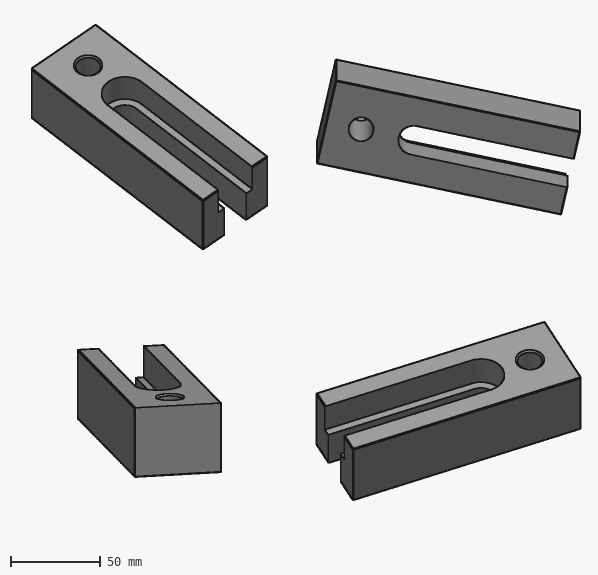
import cadquery as cq

length = 140.0
width = 50.0
height = 40.0
edge_chamfer = 0.5

hole_x = 20.0
hole_diameter = 13.9
hole_mouth_diameter = 16.0

slot_center_x = length * 5 / 14
slot_width = 17.0
recess_width = 26.0
recess_depth = 18.0


def open_slot(slot_size, floor_z):
    """Round-ended slot from floor_z to the top, running out of the far end."""
    radius = slot_size / 2
    return (
        cq.Workplane("XY", origin=(0, 0, floor_z))
        .moveTo(length, radius)
        .lineTo(slot_center_x, radius)
        .threePointArc((slot_center_x - radius, 0), (slot_center_x, -radius))
        .lineTo(length, -radius)
        .close()
        .extrude(height - floor_z)
    )


block = cq.Workplane("XY").box(length, width, height, centered=(False, True, False))
sharp_edge = cq.selectors.NearestToPointSelector((0, 0, height))
all_edges = block.edges()
block = all_edges.newObject(
    [edge for edge in all_edges.vals() if not edge.isSame(block.edges(sharp_edge).val())]
).chamfer(edge_chamfer)

mouth_chamfer = (hole_mouth_diameter - hole_diameter) / 2
hole = (
    cq.Workplane("XY")
    .center(hole_x, 0)
    .circle(hole_diameter / 2)
    .extrude(height)
)
hole_mouth = (
    cq.Workplane("XY", origin=(hole_x, 0, height))
    .circle(hole_mouth_diameter / 2)
    .workplane(offset=-mouth_chamfer)
    .circle(hole_diameter / 2)
    .loft(ruled=True)
)

result = (
    block.cut(hole)
    .cut(hole_mouth)
    .cut(open_slot(slot_width, 0))
    .cut(open_slot(recess_width, height - recess_depth))
)